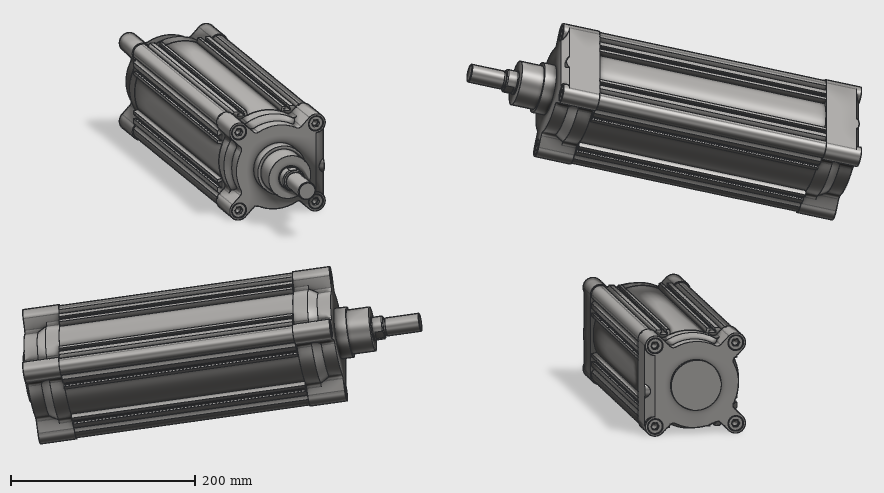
import cadquery as cq
import math


overall_length = 433.0
rear_boss_length = 4.5
rear_cap_length = 40.0
front_cap_length = 40.5
tube_length = 257.5
front_boss_length = 13.0
nose_length = 24.5
tube_start = rear_boss_length + rear_cap_length
tube_end = tube_start + tube_length
front_cap_face = tube_end + front_cap_length
nose_end = front_cap_face + front_boss_length + nose_length

post_offset = 44.5
post_radius = 11.0
cap_half_width = post_offset + post_radius
cap_outer_radius = 47.5
cap_inner_radius = 53.0
cone_start = 14.7
cone_end = 24.5
web_fillet = 4.8
boss_radius = 27.5
nose_radius = 24.2

port_block_inner = 39.0
port_slope_depth = 6.0
port_boss_radius = 11.3
port_boss_from_face = 14.0
port_boss_height = -6.0

screw_rim_radius = 8.5
screw_seat_radius = 8.0
screw_seat_depth = 0.5
socket_across_flats = 8.0
socket_depth = 4.5
socket_point_radius = 3.5

tube_half_width = 54.0
tube_arc_radius = 52.5
corner_radius = tube_half_width - post_offset
groove_outer = 41.0
groove_inner = 34.5
slot_outer = 29.5
slot_inner = 24.2
slot_undercut = 1.5
slot_lip = 3.0
slot_floor = 49.0
rib_top_inner = 21.0
rib_foot_inner = 18.5

rod_radius = 12.5
wiper_radius = 13.0
wiper_length = 1.5
collar_end = 393.0
collar_chamfer = 1.5
flat_start = 383.5
flat_half_height = 11.5
neck_radius = 8.5
neck_end = 395.5
thread_radius = 10.0
thread_chamfer = 1.0

match_tolerance = 0.05

corners = [(y, z) for y in (-post_offset, post_offset) for z in (-post_offset, post_offset)]


def disc(radius, start, end):
    """Cylinder on the X axis between two stations."""
    return cq.Workplane("YZ", origin=(start, 0, 0)).circle(radius).extrude(end - start)


def cap_posts(length):
    return cq.Workplane("YZ").pushPoints(corners).circle(post_radius).extrude(length)


def cap_section(radius, start, end):
    """Round body with diagonal webs out to the corner posts, between two stations of the cap."""
    length = end - start
    web_length = 2 * (post_offset * math.sqrt(2) + post_radius)
    plane = cq.Workplane("YZ", origin=(start, 0, 0))
    section = plane.circle(radius).extrude(length)
    for angle in (45, 135):
        web = plane.transformed(rotate=(0, 0, angle))
        section = section.union(web.slot2D(web_length, 2 * post_radius).extrude(length))

    def is_web_corner(edge):
        centre = edge.Center()
        on_body = abs(math.hypot(centre.y, centre.z) - radius) < match_tolerance
        is_seam = abs(centre.z) < match_tolerance
        return on_body and not is_seam

    web_corners = [edge for edge in section.edges("|X").vals() if is_web_corner(edge)]
    return section.newObject(web_corners).fillet(web_fillet)


def cap_flare():
    """Cone that widens the cap body towards the tube, limited to the wide section."""
    cone = (
        cq.Workplane("XY")
        .moveTo(cone_start, 0)
        .lineTo(cone_start, cap_outer_radius)
        .lineTo(cone_end, cap_inner_radius)
        .lineTo(cone_end, 0)
        .close()
        .revolve(360, (0, 0, 0), (1, 0, 0))
    )
    return cone.intersect(cap_section(cap_inner_radius, cone_start, cone_end))


def port_block(length):
    """Block that squares off the +Y side between its two posts."""
    depth = cap_half_width - port_block_inner
    block = cq.Workplane("XY").box(length, depth, 2 * post_offset)
    return block.translate((length / 2, port_block_inner + depth / 2, 0))


def port_slope():
    """Wedge removed from the outer edge of the +Y side."""
    return (
        cq.Workplane("XY", origin=(0, 0, -post_offset))
        .moveTo(0, post_offset)
        .lineTo(port_slope_depth, cap_half_width)
        .lineTo(0, cap_half_width)
        .close()
        .extrude(2 * post_offset)
    )


def port_boss():
    """Round boss that stands out of the slope, flush with the +Y side."""
    plane = cq.Workplane("XZ", origin=(port_boss_from_face, cap_half_width, port_boss_height))
    return plane.circle(port_boss_radius).extrude(cap_half_width - port_block_inner)


def screw_recess(y, z):
    """Tapered seat and hex socket with a conical bottom, in one corner post."""
    along = cq.Vector(1, 0, 0)
    seat = cq.Solid.makeCone(screw_rim_radius, screw_seat_radius, screw_seat_depth, cq.Vector(0, y, z), along)
    point = cq.Solid.makeCone(
        socket_point_radius, 0, socket_point_radius, cq.Vector(socket_depth, y, z), along
    )
    socket_corner_diameter = socket_across_flats / math.cos(math.pi / 6)
    socket = cq.Workplane("YZ").center(y, z).polygon(6, socket_corner_diameter).extrude(socket_depth)
    return socket.union(cq.Workplane(seat)).union(cq.Workplane(point))


def cap_blank(length):
    """Cap common to both ends: outer face at X = 0, tube face at X = length."""
    cap = (
        cap_section(cap_outer_radius, 0, length)
        .union(cap_flare())
        .union(cap_section(cap_inner_radius, cone_end, length))
        .union(port_block(length))
        .cut(port_slope())
        .union(port_boss())
        .union(cap_posts(length))
    )
    for y, z in corners:
        cap = cap.cut(screw_recess(y, z))
    return cap


def build_rear_cap():
    boss = disc(boss_radius, 0, tube_start)
    return cap_blank(rear_cap_length).translate((rear_boss_length, 0, 0)).union(boss)


def build_front_cap():
    boss = disc(boss_radius, tube_end, front_cap_face + front_boss_length)
    nose = disc(nose_radius, front_cap_face, nose_end)
    wiper = disc(wiper_radius, front_cap_face, nose_end + wiper_length)
    rod_bore = disc(rod_radius, tube_end, overall_length)
    cap = cap_blank(front_cap_length).mirror("YZ").translate((front_cap_face, 0, 0))
    return cap.union(boss).union(nose).union(wiper).cut(rod_bore)


def tube_channel():
    """Space above the round centre of the +Z side, between two ribs with sloping flanks."""
    return (
        cq.Workplane("YZ", origin=(tube_start, 0, 0))
        .moveTo(-rib_foot_inner, post_offset)
        .lineTo(rib_foot_inner, post_offset)
        .lineTo(rib_top_inner, tube_half_width)
        .lineTo(-rib_top_inner, tube_half_width)
        .close()
        .extrude(tube_length)
        .cut(disc(tube_arc_radius, tube_start, tube_end))
    )


def tube_slot():
    """T-slot on the +Y half of the +Z side."""
    lip_bottom = tube_half_width - slot_lip
    return (
        cq.Workplane("YZ", origin=(tube_start, 0, 0))
        .moveTo(slot_inner, tube_half_width)
        .lineTo(slot_inner, lip_bottom)
        .lineTo(slot_inner - slot_undercut, lip_bottom)
        .lineTo(slot_inner - slot_undercut, slot_floor)
        .lineTo(slot_outer + slot_undercut, slot_floor)
        .lineTo(slot_outer + slot_undercut, lip_bottom)
        .lineTo(slot_outer, lip_bottom)
        .lineTo(slot_outer, tube_half_width)
        .close()
        .extrude(tube_length)
    )


def tube_groove():
    """Right-angled V-groove beside the corner, on the +Y half of the +Z side."""
    half_width = (groove_outer - groove_inner) / 2
    return (
        cq.Workplane("YZ", origin=(tube_start, 0, 0))
        .moveTo(groove_inner, tube_half_width)
        .lineTo(groove_inner + half_width, tube_half_width - half_width)
        .lineTo(groove_outer, tube_half_width)
        .close()
        .extrude(tube_length)
    )


def tube_side_cuts():
    """Everything removed from the +Z side of the tube."""
    half = tube_slot().union(tube_groove())
    return tube_channel().union(half).union(half.mirror("XZ"))


def build_tube():
    tube = (
        cq.Workplane("YZ", origin=(tube_start, 0, 0))
        .rect(2 * tube_half_width, 2 * tube_half_width)
        .extrude(tube_length)
        .edges("|X")
        .fillet(corner_radius)
    )
    side_cuts = tube_side_cuts()
    for quarter in range(4):
        tube = tube.cut(side_cuts.rotate((0, 0, 0), (1, 0, 0), 90 * quarter))
    return tube


def build_rod():
    rod = (
        disc(rod_radius, tube_end, collar_end)
        .faces(">X")
        .chamfer(collar_chamfer)
        .union(disc(neck_radius, collar_end, neck_end))
        .union(disc(thread_radius, neck_end, overall_length).faces(">X").chamfer(thread_chamfer))
    )
    flat_length = collar_end - flat_start
    flat_depth = rod_radius - flat_half_height
    for side in (-1, 1):
        flat = cq.Workplane("XY").box(flat_length, 2 * rod_radius, flat_depth).translate(
            (flat_start + flat_length / 2, 0, side * (flat_half_height + flat_depth / 2))
        )
        rod = rod.cut(flat)
    return rod


rear_cap = build_rear_cap()
tube = build_tube()
front_cap = build_front_cap()
rod = build_rod()

bodies = [rear_cap, tube, front_cap, rod]
result = cq.Compound.makeCompound([body.solids().val() for body in bodies])